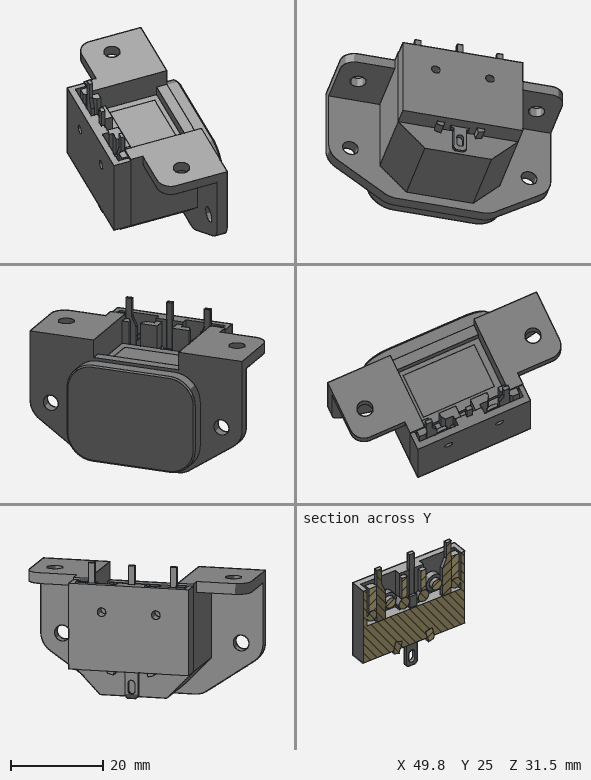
import cadquery as cq

FLANGE_WIDTH = 49.75
FLANGE_HEIGHT = 27.8
FLANGE_THICKNESS = 2.4
FLANGE_SHOULDER_Z = -18.5
FLANGE_BOTTOM_HALF = 11.2
FLANGE_CORNER_RADIUS = 5.0
EAR_LENGTH = 15.15
EAR_CORNER_RADIUS = 3.2
MOUNT_HOLE_DIAMETER = 3.5
MOUNT_HOLE_X = 20.0
MOUNT_HOLE_Z = -15.9
EAR_HOLE_Y = -8.75

BODY_HALF = 13.45
BODY_BACK = -17.9
BODY_SIDE_BOTTOM = -19.45
BODY_BOTTOM = -25.65
BODY_BOTTOM_HALF = 7.45

BEZEL_WIDTH = 30.1
BEZEL_HEIGHT = 22.15
BEZEL_DEPTH = 3.15
BEZEL_TOP = -4.75
BEZEL_CORNER_RADIUS = 6.05
BEZEL_CHAMFER = 0.35

BAY_HALF = 9.95
BAY_LEDGE_Z = -4.05
BAY_FLOOR_Z = -6.2
BAY_BACK = -16.05
SHELF_Z = -1.1
CHANNEL_FLOOR_Z = -7.45
EARTH_CHANNEL_HALF = 1.75
NECK_INNER = 5.65
NECK_OUTER = 8.35
NECK_FLARE = 0.65
NECK_FLARE_Y = -16.9

PANEL_HALF = 8.45
PANEL_FRONT = -3.45
PANEL_BACK = -13.95
PANEL_THICKNESS = 0.5

COVER_TOP = -0.45
COVER_BACK = -21.9
POCKET_INNER = 3.2
POCKET_OUTER = 12.35
POCKET_BACK = -20.4
POCKET_FLOOR_Z = -9.95
PRONG_BACK = -18.9

BOSS_X = 6.05
BOSS_Z = -6.45
HOUSING_BOSS_RADIUS = 1.35
COVER_BOSS_RADIUS = 2.1
COVER_HOLE_DIAMETER = 1.9
POST_INNER = 9.85
POST_OUTER = 11.9
POST_BACK = -19.4
POST_CHAMFER = 0.5
PEG_Z = -7.95
POST_PEG_X = 11.05
POST_PEG_RADIUS = 1.3
PRONG_PEG_X = 2.55
PRONG_PEG_RADIUS = 1.45

PIN_TOP = 3.65
LIVE_PIN_INNER = 8.5
LIVE_FOOT_INNER = 7.45
LIVE_THICKNESS = 0.8
LIVE_FLARE_TOP = COVER_TOP
LIVE_FLARE_HEIGHT = 2.3

EARTH_FRONT = -18.7
EARTH_THICKNESS = 0.9
EARTH_PIN_HALF = 0.65
EARTH_FOOT_HALF = 0.95
EARTH_FOOT_FRONT = -18.15
EARTH_FOOT_TOP = -6.95
EARTH_SHOULDER_TOP = -12.45
EARTH_SHOULDER_HALF = 2.1
EARTH_SHOULDER_RADIUS = 0.6
EARTH_SHOULDER_BOTTOM = BODY_SIDE_BOTTOM - EARTH_SHOULDER_RADIUS
EARTH_TAB_HALF = 1.45
EARTH_TAB_BOTTOM = -25.8
EARTH_TAB_CORNER = 0.55
EARTH_TIP_LENGTH = 0.95
EARTH_TIP_SETBACK = 0.2
EARTH_SLOT_WIDTH = 1.55
EARTH_SLOT_LENGTH = 3.1
EARTH_SLOT_Z = -23.25

LEG_CORNER_X = 3.9
LEG_CORNER_Z = -20.6
LEG_WIDTH = 1.65
LEG_LENGTH = 3.0
LEG_DEPTH = 2.35
LEG_TILT = 14.0
LEG_CORNER_RADIUS = 0.55

SIDES = (-1, 1)


def block(x0, x1, y0, y1, z0, z1):
    """Box between two opposite corners, given in any order."""
    return (
        cq.Workplane("XY")
        .box(abs(x1 - x0), abs(y1 - y0), abs(z1 - z0))
        .translate(((x0 + x1) / 2, (y0 + y1) / 2, (z0 + z1) / 2))
    )


def rod_y(x, z, radius, y_front, y_back):
    """Cylinder along Y from y_front back to y_back."""
    return cq.Workplane("XZ", origin=(x, y_front, z)).circle(radius).extrude(y_front - y_back)


def plate_y(points, y_front, thickness):
    """Plate with an XZ outline, reaching back from y_front."""
    return cq.Workplane("XZ", origin=(0, y_front, 0)).polyline(points).close().extrude(thickness)


def make_flanges():
    half = FLANGE_WIDTH / 2
    outline = [
        (-half, 0),
        (half, 0),
        (half, FLANGE_SHOULDER_Z),
        (FLANGE_BOTTOM_HALF, -FLANGE_HEIGHT),
        (-FLANGE_BOTTOM_HALF, -FLANGE_HEIGHT),
        (-half, FLANGE_SHOULDER_Z),
    ]
    upright = plate_y(outline, 0, FLANGE_THICKNESS)
    upright = upright.edges("|Y").edges("not >Z").fillet(FLANGE_CORNER_RADIUS)
    ears = block(-half, half, 0, -EAR_LENGTH, 0, -FLANGE_THICKNESS)
    ears = ears.edges("|Z and <Y").fillet(EAR_CORNER_RADIUS)
    for side in SIDES:
        x = side * MOUNT_HOLE_X
        hole = cq.Workplane("XY", origin=(x, EAR_HOLE_Y, 0)).circle(MOUNT_HOLE_DIAMETER / 2)
        ears = ears.cut(hole.extrude(-FLANGE_THICKNESS))
        upright = upright.cut(rod_y(x, MOUNT_HOLE_Z, MOUNT_HOLE_DIAMETER / 2, 0, -FLANGE_THICKNESS))
    return upright.union(ears)


def make_bezel():
    middle_z = BEZEL_TOP - BEZEL_HEIGHT / 2
    return (
        cq.Workplane("XZ", origin=(0, 0, middle_z))
        .rect(BEZEL_WIDTH, BEZEL_HEIGHT)
        .extrude(-BEZEL_DEPTH)
        .edges("|Y")
        .fillet(BEZEL_CORNER_RADIUS)
        .faces(">Y")
        .chamfer(BEZEL_CHAMFER)
    )


def make_body():
    outline = [
        (-BODY_HALF, 0),
        (BODY_HALF, 0),
        (BODY_HALF, BODY_SIDE_BOTTOM),
        (BODY_BOTTOM_HALF, BODY_BOTTOM),
        (-BODY_BOTTOM_HALF, BODY_BOTTOM),
        (-BODY_HALF, BODY_SIDE_BOTTOM),
    ]
    return plate_y(outline, 0, -BODY_BACK)


def make_neck(side):
    """Channel through the shelf to one pocket, flaring at its rear end."""
    points = [
        (NECK_INNER, BAY_BACK),
        (NECK_INNER, NECK_FLARE_Y),
        (NECK_INNER - NECK_FLARE, BODY_BACK),
        (NECK_OUTER + NECK_FLARE, BODY_BACK),
        (NECK_OUTER, NECK_FLARE_Y),
        (NECK_OUTER, BAY_BACK),
    ]
    outline = [(side * x, y) for x, y in points]
    return cq.Workplane("XY").polyline(outline).close().extrude(CHANNEL_FLOOR_Z)


def make_bay():
    """Stepped space cut out of the top of the housing."""
    bay = block(-BAY_HALF, BAY_HALF, 0, -FLANGE_THICKNESS, 0, BAY_LEDGE_Z)
    bay = bay.union(block(-BAY_HALF, BAY_HALF, -FLANGE_THICKNESS, BAY_BACK, 0, BAY_FLOOR_Z))
    bay = bay.union(block(-BAY_HALF, BAY_HALF, BAY_BACK, BODY_BACK, 0, SHELF_Z))
    bay = bay.union(
        block(-EARTH_CHANNEL_HALF, EARTH_CHANNEL_HALF, BAY_BACK, BODY_BACK, 0, CHANNEL_FLOOR_Z)
    )
    for side in SIDES:
        bay = bay.union(make_neck(side))
    return bay


def make_pegs(side):
    """Round pegs of the cover that carry the post and the prong of one side."""
    post_peg = rod_y(side * POST_PEG_X, PEG_Z, POST_PEG_RADIUS, BODY_BACK, POCKET_BACK)
    prong_peg = rod_y(side * PRONG_PEG_X, PEG_Z, PRONG_PEG_RADIUS, BODY_BACK, POCKET_BACK)
    return post_peg.union(prong_peg)


def make_prong(side):
    """Housing prong in the middle recess of the cover, beside the earth channel."""
    return block(
        side * EARTH_CHANNEL_HALF, side * POCKET_INNER, BODY_BACK, PRONG_BACK, SHELF_Z, PEG_Z
    )


def make_post(side):
    """Housing post standing in one pocket of the cover."""
    post = block(side * POST_INNER, side * POST_OUTER, BODY_BACK, POST_BACK, COVER_TOP, PEG_Z)
    inner_edge = "|Z and <Y and " + ("<X" if side > 0 else ">X")
    return post.edges(inner_edge).chamfer(POST_CHAMFER)


def panel_block():
    return block(
        -PANEL_HALF, PANEL_HALF, PANEL_FRONT, PANEL_BACK, BAY_FLOOR_Z, BAY_FLOOR_Z - PANEL_THICKNESS
    )


def make_housing():
    housing = make_flanges().union(make_body()).cut(make_bay()).cut(panel_block())
    housing = housing.union(make_bezel())
    for side in SIDES:
        supports = make_post(side).union(make_prong(side)).cut(make_pegs(side))
        housing = housing.union(supports)
        boss = rod_y(side * BOSS_X, BOSS_Z, HOUSING_BOSS_RADIUS, BODY_BACK, PRONG_BACK)
        housing = housing.union(boss)
    return housing


def make_live_terminal(side):
    """Live or neutral terminal: a pin whose inner edge flares into a wider foot."""
    points = [
        (POST_INNER, PIN_TOP),
        (LIVE_PIN_INNER, PIN_TOP),
        (LIVE_PIN_INNER, LIVE_FLARE_TOP),
        (LIVE_FOOT_INNER, LIVE_FLARE_TOP - LIVE_FLARE_HEIGHT),
        (LIVE_FOOT_INNER, POCKET_FLOOR_Z),
        (POST_INNER, POCKET_FLOOR_Z),
    ]
    return plate_y([(side * x, z) for x, z in points], BODY_BACK, LIVE_THICKNESS)


def make_earth_tab():
    """Solder tab with tapered tip and a slot."""
    back = EARTH_FRONT - EARTH_THICKNESS
    tab = block(
        -EARTH_TAB_HALF, EARTH_TAB_HALF, EARTH_FRONT, back, EARTH_SHOULDER_BOTTOM, EARTH_TAB_BOTTOM
    )
    tab = tab.edges("|Y and <Z").chamfer(EARTH_TAB_CORNER)
    taper_top = EARTH_TAB_BOTTOM + EARTH_TIP_LENGTH
    profile = [
        (EARTH_FRONT, EARTH_SHOULDER_BOTTOM),
        (EARTH_FRONT, taper_top),
        (EARTH_FRONT - EARTH_TIP_SETBACK, EARTH_TAB_BOTTOM),
        (back + EARTH_TIP_SETBACK, EARTH_TAB_BOTTOM),
        (back, taper_top),
        (back, EARTH_SHOULDER_BOTTOM),
    ]
    side_shape = cq.Workplane("YZ").polyline(profile).close().extrude(EARTH_TAB_HALF, both=True)
    slot = (
        cq.Workplane("XZ", origin=(0, EARTH_FRONT, EARTH_SLOT_Z))
        .slot2D(EARTH_SLOT_LENGTH, EARTH_SLOT_WIDTH, 90)
        .extrude(EARTH_THICKNESS)
    )
    return tab.intersect(side_shape).cut(slot)


def make_earth_terminal():
    """Earth terminal: a pin with a foot at its front, a shoulder and a solder tab."""
    back = EARTH_FRONT - EARTH_THICKNESS
    pin = block(-EARTH_PIN_HALF, EARTH_PIN_HALF, EARTH_FRONT, back, PIN_TOP, EARTH_SHOULDER_TOP)
    foot = block(
        -EARTH_FOOT_HALF,
        EARTH_FOOT_HALF,
        EARTH_FOOT_FRONT,
        EARTH_FRONT,
        EARTH_FOOT_TOP,
        POCKET_FLOOR_Z,
    )
    shoulder = block(
        -EARTH_SHOULDER_HALF,
        EARTH_SHOULDER_HALF,
        EARTH_FRONT,
        back,
        EARTH_SHOULDER_TOP,
        EARTH_SHOULDER_BOTTOM,
    )
    shoulder = shoulder.edges("|Y and <Z").fillet(EARTH_SHOULDER_RADIUS)
    return pin.union(foot).union(shoulder).union(make_earth_tab())


def make_leg(side):
    """Tilted leg whose lower end sticks out below the cover."""
    leg = block(0, -LEG_WIDTH, BODY_BACK, BODY_BACK - LEG_DEPTH, 0, LEG_LENGTH)
    leg = leg.edges("|Y and <Z and <X").fillet(LEG_CORNER_RADIUS)
    leg = leg.rotate((0, 0, 0), (0, 1, 0), LEG_TILT).translate((-LEG_CORNER_X, 0, LEG_CORNER_Z))
    return leg if side < 0 else leg.mirror("YZ")


def make_cover(inserts):
    """Rear cover, with a matching recess for each body that goes into it."""
    cover = block(-BODY_HALF, BODY_HALF, BODY_BACK, COVER_BACK, COVER_TOP, BODY_SIDE_BOTTOM)
    cover = cover.cut(
        block(-POCKET_INNER, POCKET_INNER, BODY_BACK, PRONG_BACK, COVER_TOP, POCKET_FLOOR_Z)
    )
    for side in SIDES:
        cover = cover.cut(
            block(
                side * POCKET_INNER,
                side * POCKET_OUTER,
                BODY_BACK,
                POCKET_BACK,
                COVER_TOP,
                POCKET_FLOOR_Z,
            )
        )
        x = side * BOSS_X
        cover = cover.union(rod_y(x, BOSS_Z, COVER_BOSS_RADIUS, PRONG_BACK, POCKET_BACK))
        cover = cover.cut(rod_y(x, BOSS_Z, COVER_HOLE_DIAMETER / 2, PRONG_BACK, COVER_BACK))
        cover = cover.union(make_pegs(side))
    for insert in inserts:
        cover = cover.cut(insert)
    return cover


earth_terminal = make_earth_terminal()
live_terminals = [make_live_terminal(side) for side in SIDES]
legs = [make_leg(side) for side in SIDES]
panel = panel_block()
housing = make_housing()
cover = make_cover([earth_terminal, *live_terminals, *legs])

result = cq.Compound.makeCompound(
    [
        housing.solids().val(),
        cover.solids().val(),
        panel.solids().val(),
        earth_terminal.solids().val(),
        *[terminal.solids().val() for terminal in live_terminals],
        *[leg.solids().val() for leg in legs],
    ]
)